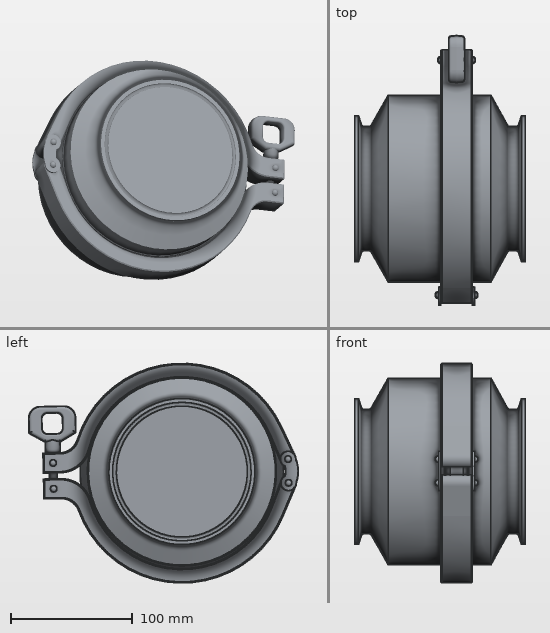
import cadquery as cq
import math

body_length = 139.8
body_radius = 76.6
tube_radius = 51.0
tube_fillet = 1.5
left_tube_end = 13.0
left_cone_end = 27.5
right_cone_start = 111.5
right_tube_start = 125.7
end_flange_radius = 59.9
end_flange_rim = 3.0
end_flange_width = 6.0
gasket_groove_radius = 55.2
gasket_groove_size = 1.5

joint_x = 83.5
joint_flange_radius = 83.5
joint_rim_half_width = 5.3
joint_half_width = 10.0
joint_foot_radius = 77.5
joint_foot_half_width = 8.8

clamp_drop = 1.3
clamp_tilt = 1.2
clamp_width = 25.6
clamp_outer_radius = 180.0 / 2
clamp_inner_radius = 78.2
clamp_chamfer = 0.9

pad_end_y = 113.5
pad_bend_y = 99.4
pad_bottom = 2.5
pad_top = 18.8
pad_pin_y = 105.4
pad_pin_z = (pad_bottom + pad_top) / 2

hinge_pin_y = -87.2
hinge_pin_z = 9.7
hinge_end_radius = 6.5
link_thickness = 2.0
link_end_radius = hinge_end_radius
link_outer_y = -95.5
link_inner_y = -85.0
rivet_radius = 2.7

bolt_radius = 3.3
neck_radius = 6.2
neck_fillet = 2.0
eye_thickness = 13.0
eye_half_width = 19.2
eye_top = 57.0
eye_shoulder = 35.3
eye_neck_z = 27.8
eye_draft = 6
eye_corner_radius = 9.7
eye_edge_fillet = 2.5
window_edge_fillet = 1.5
window_half_width = 8.5
window_bottom = 34.5
window_top = 51.5
window_corner_radius = 4.5


def circle_point(center, radius, angle):
    """Point on a circle in the YZ plane; the angle is in radians from +Y."""
    return (center[0] + radius * math.cos(angle), center[1] + radius * math.sin(angle))


def make_body():
    """Closed body with both end flanges, gasket grooves and the middle flange."""
    outline = [
        (0, 0),
        (0, end_flange_radius),
        (end_flange_rim, end_flange_radius),
        (end_flange_width, tube_radius),
        (left_tube_end, tube_radius),
        (left_cone_end, body_radius),
        (joint_x - joint_half_width, body_radius),
        (joint_x - joint_half_width, joint_foot_radius),
        (joint_x - joint_foot_half_width, joint_foot_radius),
        (joint_x - joint_rim_half_width, joint_flange_radius),
        (joint_x + joint_rim_half_width, joint_flange_radius),
        (joint_x + joint_foot_half_width, joint_foot_radius),
        (joint_x + joint_half_width, joint_foot_radius),
        (joint_x + joint_half_width, body_radius),
        (right_cone_start, body_radius),
        (right_tube_start, tube_radius),
        (body_length - end_flange_width, tube_radius),
        (body_length - end_flange_rim, end_flange_radius),
        (body_length, end_flange_radius),
        (body_length, 0),
    ]
    body = cq.Workplane("XZ").polyline(outline).close().revolve(360, (0, 0, 0), (1, 0, 0))
    tube_edges = body.edges("%CIRCLE").filter(lambda edge: math.isclose(edge.radius(), tube_radius))
    body = tube_edges.fillet(tube_fillet)
    for end_x in (0, body_length):
        groove = (
            cq.Workplane("XZ")
            .center(end_x, gasket_groove_radius)
            .circle(gasket_groove_size)
            .revolve(360, (-end_x, -gasket_groove_radius, 0), (2.2 - end_x, -gasket_groove_radius, 0))
        )
        body = body.cut(groove)
    return body


def bend_center(pad_height, ring_radius):
    """Centre and radius of the bend that is tangent to a pad face and to the ring circle."""
    radius = (pad_bend_y**2 + pad_height**2 - ring_radius**2) / (2 * (ring_radius - pad_height))
    return (pad_bend_y, pad_height + radius), radius


def bend_points(pad_height, ring_radius):
    """Start on the pad, middle and end on the ring of a pad bend."""
    center, radius = bend_center(pad_height, ring_radius)
    start_angle = -math.pi / 2
    end_angle = math.atan2(center[1], center[0]) - math.pi
    return [circle_point(center, radius, a) for a in (start_angle, (start_angle + end_angle) / 2, end_angle)]


def hinge_line_angle(normal_distance):
    """Direction of the normal to a hinge flank that passes the pin at the given distance from the centre."""
    pin_distance = math.hypot(hinge_pin_y, hinge_pin_z)
    return math.atan2(hinge_pin_z, hinge_pin_y) - math.acos(normal_distance / pin_distance)


def make_upper_clamp():
    """Upper clamp half: pad and bend, ring arc, straight flanks and rounded hinge end."""
    center = (0, 0)
    pin = (hinge_pin_y, hinge_pin_z)
    outer_angle = hinge_line_angle(clamp_outer_radius - hinge_end_radius)
    inner_angle = hinge_line_angle(clamp_inner_radius + hinge_end_radius)
    cap_angle = (outer_angle + inner_angle + math.pi) / 2
    top_angle = math.pi / 2
    outer_bend = bend_points(pad_top, clamp_outer_radius)
    inner_bend = bend_points(pad_bottom, clamp_inner_radius)
    profile = (
        cq.Workplane("YZ")
        .moveTo(pad_end_y, pad_bottom)
        .lineTo(pad_end_y, pad_top)
        .lineTo(*outer_bend[0])
        .threePointArc(outer_bend[1], outer_bend[2])
        .threePointArc(
            circle_point(center, clamp_outer_radius, top_angle),
            circle_point(center, clamp_outer_radius, outer_angle),
        )
        .lineTo(*circle_point(pin, hinge_end_radius, outer_angle))
        .threePointArc(
            circle_point(pin, hinge_end_radius, cap_angle),
            circle_point(pin, hinge_end_radius, inner_angle + math.pi),
        )
        .lineTo(*circle_point(center, clamp_inner_radius, inner_angle))
        .threePointArc(
            circle_point(center, clamp_inner_radius, top_angle),
            inner_bend[2],
        )
        .threePointArc(inner_bend[1], inner_bend[0])
        .close()
    )
    half = profile.extrude(clamp_width / 2, both=True)
    return half.faces("<X or >X").chamfer(clamp_chamfer)


def make_rivet(y, z, length):
    """Rivet along X with a domed head at each end."""
    tip = length / 2 + rivet_radius
    dome = rivet_radius * math.sqrt(0.5)
    return (
        cq.Workplane("XY")
        .moveTo(-tip, 0)
        .threePointArc((-length / 2 - dome, dome), (-length / 2, rivet_radius))
        .lineTo(length / 2, rivet_radius)
        .threePointArc((length / 2 + dome, dome), (tip, 0))
        .close()
        .revolve(360, (0, 0, 0), (1, 0, 0))
        .translate((0, y, z))
    )


def make_link():
    """Bean-shaped hinge plate, from X = 0 to its thickness."""
    web = (
        cq.Workplane("YZ")
        .moveTo(hinge_pin_y + link_end_radius, hinge_pin_z)
        .threePointArc((link_inner_y, 0), (hinge_pin_y + link_end_radius, -hinge_pin_z))
        .lineTo(hinge_pin_y - link_end_radius, -hinge_pin_z)
        .threePointArc((link_outer_y, 0), (hinge_pin_y - link_end_radius, hinge_pin_z))
        .close()
        .extrude(link_thickness)
    )
    ends = (
        cq.Workplane("YZ")
        .pushPoints([(hinge_pin_y, hinge_pin_z), (hinge_pin_y, -hinge_pin_z)])
        .circle(link_end_radius)
        .extrude(link_thickness)
    )
    return web.union(ends)


def make_eye_half():
    """Half of the eye, from its middle plane X = 0; the draft leaves a ridge around the middle."""
    corner_y = eye_half_width - eye_corner_radius
    corner_z = eye_top - eye_corner_radius
    diagonal = math.pi / 4
    half = (
        cq.Workplane("YZ")
        .center(pad_pin_y, 0)
        .moveTo(-neck_radius, eye_neck_z)
        .lineTo(neck_radius, eye_neck_z)
        .lineTo(eye_half_width, eye_shoulder)
        .lineTo(eye_half_width, corner_z)
        .threePointArc(
            circle_point((corner_y, corner_z), eye_corner_radius, diagonal),
            (corner_y, eye_top),
        )
        .lineTo(-corner_y, eye_top)
        .threePointArc(
            circle_point((-corner_y, corner_z), eye_corner_radius, math.pi - diagonal),
            (-eye_half_width, corner_z),
        )
        .lineTo(-eye_half_width, eye_shoulder)
        .close()
        .extrude(eye_thickness / 2, taper=eye_draft)
        .faces(">X")
        .edges()
        .fillet(eye_edge_fillet)
    )
    window_outline = (
        cq.Sketch()
        .rect(2 * window_half_width, window_top - window_bottom)
        .vertices()
        .fillet(window_corner_radius)
    )
    window = (
        cq.Workplane("YZ")
        .center(pad_pin_y, (window_bottom + window_top) / 2)
        .placeSketch(window_outline)
        .extrude(eye_thickness / 2, taper=-eye_draft)
    )
    half = half.cut(window)
    window_rim = half.faces(">X").val().innerWires()[0]
    return half.newObject(window_rim.Edges()).fillet(window_edge_fillet)


def make_eye_bolt():
    """Eye nut with its round neck, on the bolt that joins the two pads."""
    half = make_eye_half()
    neck = (
        cq.Workplane("XY", origin=(0, pad_pin_y, pad_top))
        .circle(neck_radius)
        .extrude(window_bottom - eye_edge_fillet - pad_top)
        .faces("<Z")
        .edges()
        .fillet(neck_fillet)
    )
    bolt = (
        cq.Workplane("XY", origin=(0, pad_pin_y, -pad_pin_z))
        .circle(bolt_radius)
        .extrude(pad_pin_z + eye_neck_z)
    )
    return half.union(half.mirror("YZ")).union(neck).union(bolt)


def make_clamp():
    """Both clamp halves with eye bolt, hinge links and rivets, set in place on the body."""
    upper = make_upper_clamp()
    clamp = upper.union(upper.mirror("XY")).union(make_eye_bolt())
    link = make_link().translate((clamp_width / 2, 0, 0))
    clamp = clamp.union(link).union(link.mirror("YZ"))
    for side in (-1, 1):
        clamp = clamp.union(make_rivet(pad_pin_y, side * pad_pin_z, clamp_width))
        clamp = clamp.union(make_rivet(hinge_pin_y, side * hinge_pin_z, clamp_width + 2 * link_thickness))
    return clamp.rotate((0, 0, 0), (1, 0, 0), -clamp_tilt).translate((joint_x, 0, -clamp_drop))


result = make_body().union(make_clamp()).solids()